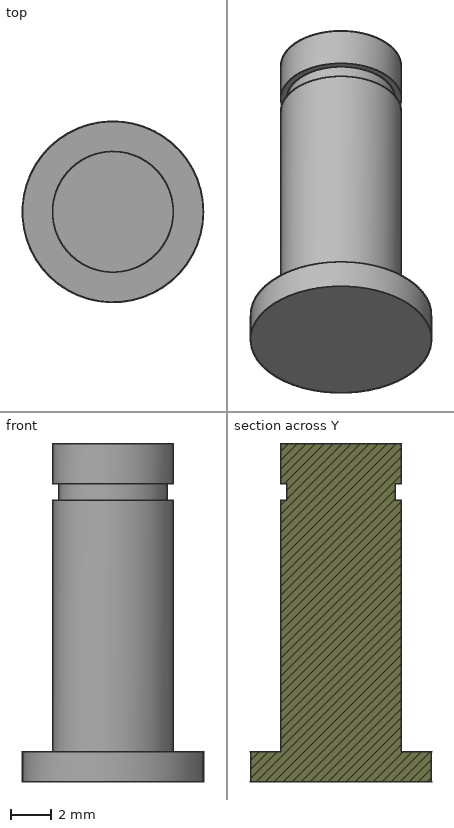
import cadquery as cq

head_diameter = 9.0
head_height = 1.5
pin_diameter = 6.0
overall_height = 16.8
groove_diameter = 5.4
groove_width = 0.8
tip_height = 2.0

groove_bottom = overall_height - tip_height - groove_width


def make_headed_pin():
    """Plain cylindrical pin rising from its wider disc head."""
    head = cq.Workplane("XY").circle(head_diameter / 2).extrude(head_height)
    pin = cq.Workplane("XY").circle(pin_diameter / 2).extrude(overall_height)
    return head.union(pin)


def make_groove_ring():
    """Ring of material removed to form the groove near the tip."""
    return (
        cq.Workplane("XY")
        .workplane(offset=groove_bottom)
        .circle(pin_diameter / 2)
        .circle(groove_diameter / 2)
        .extrude(groove_width)
    )


result = make_headed_pin().cut(make_groove_ring())